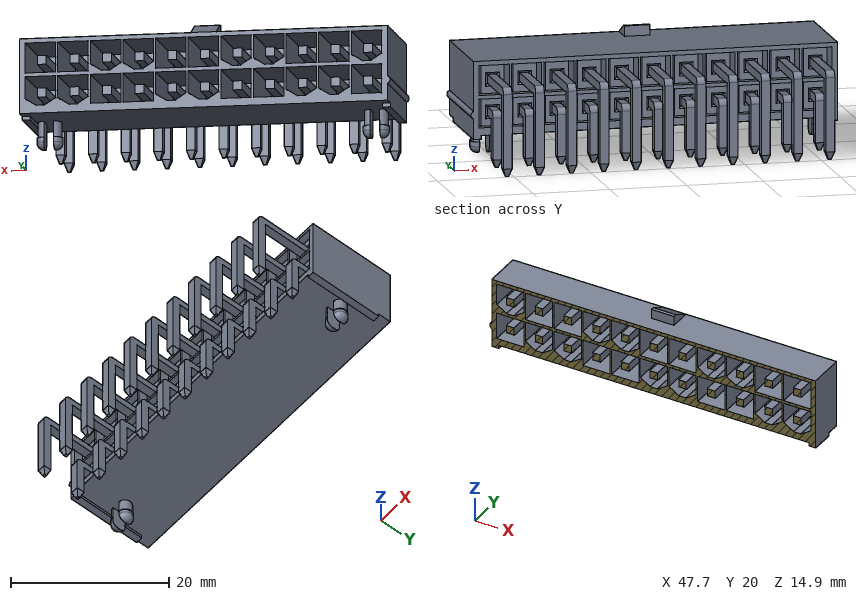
import cadquery as cq
import math


columns = 11
pitch = 4.2
body_length = 47.35
body_depth = 12.8
body_top = 10.1
foot_height = 0.5
foot_width = 1.0
foot_setback = 1.9

row_heights = (3.3, 7.5)
cell_width = 3.9
cell_ranges = ((1.5, 5.2), (5.7, 9.55))
key_chamfer_height = 0.9
key_chamfer_run = 1.45
recess_depth = 0.95
web_thickness = 2.2
web_width = 3.05
funnel_width = 1.75
funnel_depth = 0.4
web_back = recess_depth + web_thickness

pin_width = 1.15
pin_bend_radius = 0.8
pin_reaches = (1.7, 7.2)
pin_mating_end = body_depth - 0.95
pin_tip_z = -3.45
tip_length = 1.05
tip_width = 0.4

peg_y = 6.2
peg_width = 3.05
peg_thickness = 2.05
peg_slot = 1.25
peg_head_width = 3.35
peg_head_top = -1.55
peg_rounding = 0.9
peg_bottom = -3.05

latch_width = 3.3
latch_length = 3.05
latch_flat = 0.5
overall_height = 14.9
latch_top = pin_tip_z + overall_height
rib_z = 3.15
rib_width = 1.0
overall_length = 47.7
rib_height = overall_length - body_length

column_xs = [(i - (columns - 1) / 2) * pitch for i in range(columns)]


def block(width, y_range, z_range, x=0):
    """Box centred on x, spanning the given Y and Z ranges."""
    depth = y_range[1] - y_range[0]
    height = z_range[1] - z_range[0]
    corner = (x - width / 2, y_range[0], z_range[0])
    return cq.Workplane(cq.Solid.makeBox(width, depth, height, cq.Vector(*corner)))


def make_shell():
    """Plain housing block with a foot along each end."""
    shell = block(body_length, (0, body_depth), (foot_height, body_top))
    foot_x = (body_length - foot_width) / 2
    for x in (-foot_x, foot_x):
        shell = shell.union(block(foot_width, (0, body_depth - foot_setback), (0, foot_height), x))
    return shell


def make_key_corner(x, floor, side):
    """Sloped filling of one lower corner of a cell; side is -1 for left and 1 for right."""
    wall_x = x + side * cell_width / 2
    return (
        cq.Workplane("XZ", origin=(0, web_back, 0))
        .moveTo(wall_x, floor)
        .lineTo(wall_x, floor + key_chamfer_height)
        .lineTo(wall_x - side * key_chamfer_run, floor)
        .close()
        .extrude(web_back - body_depth)
    )


def make_cell(x, row, keyed):
    """Empty space of one cell: rear recess, two side slots, pin funnel and mating cavity."""
    z_range = cell_ranges[row]
    cavity = block(cell_width, (recess_depth, body_depth), z_range, x)
    if keyed:
        cavity = cavity.cut(make_key_corner(x, z_range[0], -1)).cut(make_key_corner(x, z_range[0], 1))
    web = block(web_width, (recess_depth, web_back), z_range, x)
    funnel = (
        cq.Workplane("XZ", origin=(x, recess_depth, row_heights[row]))
        .rect(funnel_width, funnel_width)
        .workplane(offset=-funnel_depth)
        .rect(pin_width, pin_width)
        .loft()
    )
    recess = block(cell_width, (0, recess_depth), z_range, x)
    return cavity.cut(web.cut(funnel)).union(recess)


def is_keyed(column, row):
    """Chamfered cells alternate between the rows in pairs, starting in the upper row."""
    keyed_row = 1 - (column + 1) // 2 % 2
    return row == keyed_row


def make_pin(row):
    """Bent square pin of one row, centred on X = 0."""
    half = pin_width / 2
    top = row_heights[row] + half
    bottom = row_heights[row] - half
    outer = -pin_reaches[row]
    inner = outer + pin_width
    tip_start = pin_tip_z + tip_length
    bend_inset = pin_bend_radius * (1 - math.sqrt(0.5))
    pin = (
        cq.Workplane("YZ", origin=(-half, 0, 0))
        .moveTo(pin_mating_end, top)
        .lineTo(outer + pin_bend_radius, top)
        .threePointArc((outer + bend_inset, top - bend_inset), (outer, top - pin_bend_radius))
        .lineTo(outer, tip_start)
        .lineTo(inner, tip_start)
        .lineTo(inner, bottom)
        .lineTo(pin_mating_end, bottom)
        .close()
        .extrude(pin_width)
    )
    tip = (
        cq.Workplane("XY", origin=(0, outer + half, tip_start))
        .rect(pin_width, pin_width)
        .workplane(offset=-tip_length)
        .rect(tip_width, tip_width)
        .loft()
    )
    return pin.union(tip)


def make_peg(x):
    """Split peg with an oblong shank and a wider head rounded at the bottom."""
    shank = (
        cq.Workplane("XY", origin=(0, 0, foot_height))
        .slot2D(peg_width, peg_thickness)
        .extrude(peg_head_top - foot_height)
    )
    head = (
        cq.Workplane("XY", origin=(0, 0, peg_head_top))
        .slot2D(peg_head_width, peg_thickness)
        .extrude(peg_bottom - peg_head_top)
        .faces("<Z")
        .edges()
        .fillet(peg_rounding)
    )
    slot = block(peg_slot, (-peg_thickness, peg_thickness), (peg_bottom, foot_height))
    return shank.union(head).cut(slot).translate((x, peg_y, 0))


def make_latch():
    """Wedge on the roof, rising from the mating side."""
    front = body_depth - latch_length
    return (
        cq.Workplane("YZ", origin=(-latch_width / 2, 0, 0))
        .moveTo(front, body_top)
        .lineTo(front, latch_top)
        .lineTo(front + latch_flat, latch_top)
        .lineTo(body_depth, body_top)
        .close()
        .extrude(latch_width)
    )


def make_rib():
    """Rounded rib along the left end wall."""
    wall_x = -body_length / 2
    return (
        cq.Workplane("XZ")
        .moveTo(wall_x, rib_z - rib_width / 2)
        .threePointArc((wall_x - rib_height, rib_z), (wall_x, rib_z + rib_width / 2))
        .close()
        .extrude(-body_depth)
    )


cells = cq.Workplane()
pins = cq.Workplane()
for row in range(len(row_heights)):
    pin = make_pin(row)
    for column, x in enumerate(column_xs):
        cells.add(make_cell(x, row, is_keyed(column, row)))
        pins.add(pin.translate((x, 0, 0)))

result = make_shell().union(make_latch()).union(make_rib())
for x in (column_xs[0], column_xs[-1]):
    result = result.union(make_peg(x))
result = result.cut(cells).union(pins)